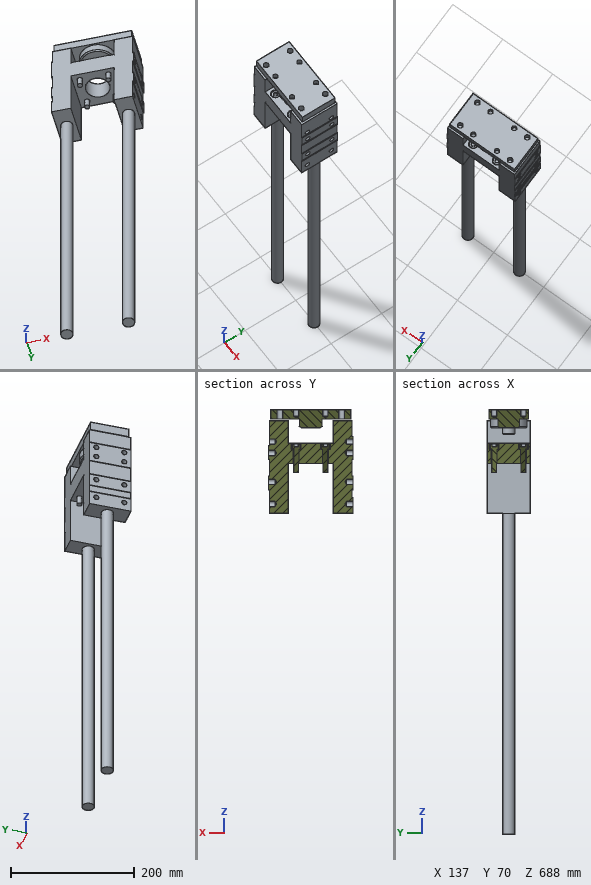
import cadquery as cq
import math

TOTAL_HEIGHT = 688.0
SIDES = (-1, 1)

PLATE_LENGTH = 130.0
PLATE_WIDTH = 65.0
PLATE_HEIGHT = 15.0
PLATE_BOTTOM = TOTAL_HEIGHT - PLATE_HEIGHT
PLATE_HOLE_DIAMETER = 9.0
PLATE_HOLE_SPACING = 100.0
FLANGE_DIAMETER = 60.0
FLANGE_HEIGHT = 14.5
FLANGE_BOTTOM = PLATE_BOTTOM - FLANGE_HEIGHT
FLANGE_CHAMFER = 2.0
STUB_DIAMETER = 20.0
STUB_HEIGHT = 10.0
STUB_CHAMFER = 1.5
ROD_DIAMETER = 20.0
ROD_SPACING = 103.0

HOUSING_LENGTH = 137.0
HOUSING_WIDTH = 70.0
HOUSING_HEIGHT = 150.0
PLATE_GAP = 3.0
LEG_SPACE = 72.0
CROSSBAR_TOP_DEPTH = 36.5
CROSSBAR_HEIGHT = 33.0
CENTRING_DIAMETER = 40.0
HOUSING_TOP = PLATE_BOTTOM - PLATE_GAP
HOUSING_BOTTOM = HOUSING_TOP - HOUSING_HEIGHT
CROSSBAR_TOP = HOUSING_TOP - CROSSBAR_TOP_DEPTH
CROSSBAR_BOTTOM = CROSSBAR_TOP - CROSSBAR_HEIGHT

PAD_HEIGHT = 1.5
MIDDLE_RECESS = (62.5, 89.5)
LOWER_RECESS_START = 112.0
LEFT_RECESSES = [(0, 25.5), MIDDLE_RECESS, (LOWER_RECESS_START, 124.5)]
RIGHT_RECESSES = [(0, 40.0), MIDDLE_RECESS, (LOWER_RECESS_START, HOUSING_HEIGHT)]

HOLE_SPACING = 47.5
TAPPED_DIAMETER = 8.0
TAPPED_DEPTH = 10.0
DRILL_TIP_ANGLE = 118
SIDE_HOLE_DEPTHS = [34.0, 52.0, 99.0, 135.0]

SCREW_DIAMETER = 8.0
SCREW_HEAD_DIAMETER = 13.0
SCREW_HEAD_HEIGHT = 8.0
SCREW_PROTRUSION = 14.5
SOCKET_DIAMETER = 6.7
SOCKET_DEPTH = 4.0
CLEARANCE_DIAMETER = 9.0
COUNTERBORE_DIAMETER = 15.0
COUNTERBORE_DEPTH = 9.5
SCREW_SEAT = CROSSBAR_TOP - COUNTERBORE_DEPTH
SCREW_POINTS = [(i * HOLE_SPACING / 2, j * HOLE_SPACING / 2) for i in SIDES for j in SIDES]


def block(length, width, bottom, top, x=0):
    """Box centred on X = x and Y = 0, between two heights."""
    plane = cq.Workplane("XY", origin=(x, 0, bottom))
    return plane.box(length, width, top - bottom, centered=(True, True, False))


def cylinder(diameter, bottom, top, x=0, y=0):
    """Vertical cylinder between two heights."""
    return cq.Workplane("XY", origin=(x, y, bottom)).circle(diameter / 2).extrude(top - bottom)


def tapped_hole(mouth, direction):
    """Volume removed by a blind tapped hole that starts at `mouth` and runs along `direction`."""
    radius = TAPPED_DIAMETER / 2
    tip_length = radius / math.tan(math.radians(DRILL_TIP_ANGLE / 2))
    start = cq.Vector(mouth)
    axis = cq.Vector(direction)
    bore = cq.Solid.makeCylinder(radius, TAPPED_DEPTH, start, axis)
    tip = cq.Solid.makeCone(radius, 0, tip_length, start + axis * TAPPED_DEPTH, axis)
    return cq.Workplane(bore).union(cq.Workplane(tip))


def make_slide():
    slide = block(PLATE_LENGTH, PLATE_WIDTH, PLATE_BOTTOM, TOTAL_HEIGHT)

    flange = cylinder(FLANGE_DIAMETER, FLANGE_BOTTOM, PLATE_BOTTOM)
    stub = cylinder(STUB_DIAMETER, FLANGE_BOTTOM - STUB_HEIGHT, FLANGE_BOTTOM)
    slide = slide.union(flange.faces("<Z").chamfer(FLANGE_CHAMFER))
    slide = slide.union(stub.faces("<Z").chamfer(STUB_CHAMFER))

    for side in SIDES:
        slide = slide.union(cylinder(ROD_DIAMETER, 0, PLATE_BOTTOM, side * ROD_SPACING / 2))

    for i in SIDES:
        for j in SIDES:
            x = i * PLATE_HOLE_SPACING / 2
            y = j * HOLE_SPACING / 2
            slide = slide.cut(cylinder(PLATE_HOLE_DIAMETER, PLATE_BOTTOM, TOTAL_HEIGHT, x, y))
    for x, y in SCREW_POINTS:
        slide = slide.cut(tapped_hole((x, y, TOTAL_HEIGHT), (0, 0, -1)))
    return slide


def cut_leg_face(housing, side, recesses):
    """Cut the recesses and tapped holes into the outer face of the leg on one side."""
    face_x = side * HOUSING_LENGTH / 2
    for start, end in recesses:
        recess = block(2 * PAD_HEIGHT, HOUSING_WIDTH, HOUSING_TOP - end, HOUSING_TOP - start, face_x)
        housing = housing.cut(recess)
    for depth in SIDE_HOLE_DEPTHS:
        for j in SIDES:
            mouth = (face_x, j * HOLE_SPACING / 2, HOUSING_TOP - depth)
            housing = housing.cut(tapped_hole(mouth, (-side, 0, 0)))
    return housing


def make_housing():
    housing = block(HOUSING_LENGTH, HOUSING_WIDTH, HOUSING_BOTTOM, HOUSING_TOP)

    housing = housing.cut(block(LEG_SPACE, HOUSING_WIDTH, CROSSBAR_TOP, HOUSING_TOP))
    housing = housing.cut(block(LEG_SPACE, HOUSING_WIDTH, HOUSING_BOTTOM, CROSSBAR_BOTTOM))
    housing = housing.cut(cylinder(CENTRING_DIAMETER, CROSSBAR_BOTTOM, CROSSBAR_TOP))

    for side in SIDES:
        bore = cylinder(ROD_DIAMETER, HOUSING_BOTTOM, HOUSING_TOP, side * ROD_SPACING / 2)
        housing = housing.cut(bore)

    for x, y in SCREW_POINTS:
        housing = housing.cut(cylinder(CLEARANCE_DIAMETER, CROSSBAR_BOTTOM, CROSSBAR_TOP, x, y))
        housing = housing.cut(cylinder(COUNTERBORE_DIAMETER, SCREW_SEAT, CROSSBAR_TOP, x, y))

    housing = cut_leg_face(housing, -1, LEFT_RECESSES)
    return cut_leg_face(housing, 1, RIGHT_RECESSES)


def make_screw(x, y):
    head_top = SCREW_SEAT + SCREW_HEAD_HEIGHT
    shank = cylinder(SCREW_DIAMETER, CROSSBAR_BOTTOM - SCREW_PROTRUSION, SCREW_SEAT, x, y)
    head = cylinder(SCREW_HEAD_DIAMETER, SCREW_SEAT, head_top, x, y)
    socket = cylinder(SOCKET_DIAMETER, head_top - SOCKET_DEPTH, head_top, x, y)
    return shank.union(head).cut(socket)


housing = make_housing()
slide = make_slide()
screws = [make_screw(x, y) for x, y in SCREW_POINTS]

result = cq.Compound.makeCompound([housing.val(), slide.val(), *[screw.val() for screw in screws]])